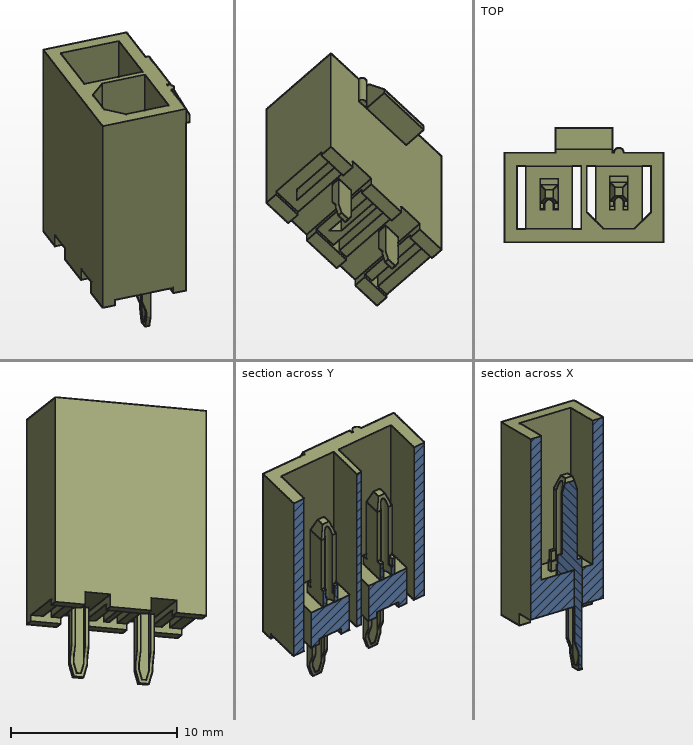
import cadquery as cq


HOUSING_WIDTH = 9.6
HOUSING_DEPTH = 5.41
HOUSING_HEIGHT = 12.8
CONTACT_PITCH = 4.2
CAVITY_WIDTH = 3.85
END_WALL = 0.82
CAVITY_DEPTH = HOUSING_DEPTH - 2 * END_WALL
KEY_CHAMFER = 1.01
FLOOR_TOP = 3.26
FLOOR_WIDTH = 2.82
SIDE_NOTCH_HEIGHT = 0.37
FRONT_NOTCH_WIDTH = 1.6
FRONT_NOTCH_HEIGHT = 0.78

LATCH_WIDTH = 3.44
LATCH_HEIGHT = 3.02
LATCH_REACH = 1.48
LATCH_TOP_REACH = 0.21
LATCH_LIP = 0.52
RIB_RADIUS = 0.3

LEFT_X = -CONTACT_PITCH / 2
RIGHT_X = CONTACT_PITCH / 2
PIN_SETBACK = 1.56
LEFT_BACK_Y = HOUSING_DEPTH - PIN_SETBACK
STAGGER = 0.15
PIN_PLACES = [(LEFT_X, LEFT_BACK_Y), (RIGHT_X, LEFT_BACK_Y + STAGGER)]

PIN_WIDTH = 1.1
BASE_FRONT_Y = 1.97
BASE_HEIGHT = 0.65
CHEEK_REACH = 0.33
CHEEK_HEIGHT = 0.65
BLADE_SETBACK = 0.36
BLADE_DEPTH = 1.14
BLADE_TOP = 9.45
TIP_HEIGHT = 0.9
TIP_INSET = 0.31
GROOVE_RADIUS = 0.26
GROOVE_CENTER_OFFSET = 0.03

TAIL_DROP = 3.5
TAIL_DEPTH = 0.57
TAIL_TIP_DEPTH = 0.28
TAIL_WALL = 0.23
TAIL_WEB = 0.25
SLOPE_TOP = -1.55
SLOPE_BOTTOM = -2.33
SLOPE_RADIUS = 0.65
TAPER_HEIGHT = 0.82
TAIL_TIP_WIDTH = 0.62


def block(x_center, width, y_min, y_max, z_min, z_max):
    """Rectangular block centred on x_center."""
    size = (width, y_max - y_min, z_max - z_min)
    corner = (x_center, y_min, z_min)
    return cq.Workplane("XY").box(*size, centered=(True, False, False)).translate(corner)


def cavity(x_center):
    """Mating cavity over the full height of the housing."""
    return block(x_center, CAVITY_WIDTH, END_WALL, END_WALL + CAVITY_DEPTH, 0, HOUSING_HEIGHT)


def keyed_cavity(x_center):
    """Mating cavity with its two front corners chamfered as a key."""
    return cavity(x_center).edges("|Z and <Y").chamfer(KEY_CHAMFER)


def latch():
    """Ramp with a flat lip, flush with the top of the housing."""
    bottom = HOUSING_HEIGHT - LATCH_HEIGHT
    outer_y = HOUSING_DEPTH + LATCH_REACH
    return (
        cq.Workplane("YZ", origin=(-LATCH_WIDTH / 2, 0, 0))
        .moveTo(HOUSING_DEPTH, bottom)
        .lineTo(outer_y, bottom)
        .lineTo(outer_y, bottom + LATCH_LIP)
        .lineTo(HOUSING_DEPTH + LATCH_TOP_REACH, HOUSING_HEIGHT)
        .lineTo(HOUSING_DEPTH, HOUSING_HEIGHT)
        .close()
        .extrude(LATCH_WIDTH)
    )


def polarity_rib():
    """Half-round rib beside the latch, as tall as the latch; its rear half lies in the wall."""
    return (
        cq.Workplane("XY", origin=(RIGHT_X, HOUSING_DEPTH, HOUSING_HEIGHT - LATCH_HEIGHT))
        .circle(RIB_RADIUS)
        .extrude(LATCH_HEIGHT)
    )


def make_housing():
    """Housing with two cavities, floor slots, underside notches and holes for the pin tails."""
    housing = block(0, HOUSING_WIDTH, 0, HOUSING_DEPTH, 0, HOUSING_HEIGHT)
    housing = housing.union(latch()).union(polarity_rib())

    for x_center, cavity_shape in [(LEFT_X, cavity), (RIGHT_X, keyed_cavity)]:
        floor_block = block(x_center, FLOOR_WIDTH, 0, HOUSING_DEPTH, 0, FLOOR_TOP)
        housing = housing.cut(cavity_shape(x_center).cut(floor_block))

    housing = housing.cut(
        block(0, HOUSING_WIDTH, END_WALL, END_WALL + CAVITY_DEPTH, 0, SIDE_NOTCH_HEIGHT)
    )
    for x_center, pin_back_y in PIN_PLACES:
        housing = housing.cut(block(x_center, FRONT_NOTCH_WIDTH, 0, HOUSING_DEPTH, 0, FRONT_NOTCH_HEIGHT))
        housing = housing.cut(
            block(x_center, PIN_WIDTH, pin_back_y - TAIL_DEPTH, pin_back_y, 0, FLOOR_TOP)
        )
    return housing


def tail_outline(back_y):
    """Front outline of the tail, tapering to its tip, set on the plane Y = back_y."""
    half_width = PIN_WIDTH / 2
    half_tip = TAIL_TIP_WIDTH / 2
    taper_top = TAPER_HEIGHT - TAIL_DROP
    return cq.Workplane("XZ", origin=(0, back_y, 0)).polyline(
        [
            (-half_width, FLOOR_TOP),
            (-half_width, taper_top),
            (-half_tip, -TAIL_DROP),
            (half_tip, -TAIL_DROP),
            (half_width, taper_top),
            (half_width, FLOOR_TOP),
        ]
    ).close()


def tail(back_y):
    """Tail with a thinner lower end and a channel in its front that stops short of the tip."""
    front_y = back_y - TAIL_DEPTH
    tip_front_y = back_y - TAIL_TIP_DEPTH
    profile = (
        cq.Workplane("YZ", origin=(-PIN_WIDTH / 2, 0, 0))
        .polyline(
            [
                (back_y, FLOOR_TOP),
                (back_y, -TAIL_DROP),
                (tip_front_y, -TAIL_DROP),
                (tip_front_y, SLOPE_BOTTOM),
                (front_y, SLOPE_TOP),
                (front_y, FLOOR_TOP),
            ]
        )
        .close()
        .extrude(PIN_WIDTH)
    )
    for slope_end in [(0, front_y, SLOPE_TOP), (0, tip_front_y, SLOPE_BOTTOM)]:
        nearest_edge = cq.selectors.NearestToPointSelector(slope_end)
        profile = profile.edges(nearest_edge).fillet(SLOPE_RADIUS)
    channel = (
        tail_outline(back_y - TAIL_WEB).offset2D(-TAIL_WALL, "intersection").extrude(TAIL_DEPTH)
    )
    return profile.intersect(tail_outline(back_y).extrude(TAIL_DEPTH)).cut(channel)


def pin_body(back_y):
    """Base, two cheeks and a pointed blade behind them, with a round-bottomed groove down the front."""
    blade_back_y = back_y - BLADE_SETBACK
    blade_front_y = blade_back_y - BLADE_DEPTH
    base_top = FLOOR_TOP + BASE_HEIGHT
    groove_center_y = blade_front_y - GROOVE_CENTER_OFFSET
    cheek_top = base_top + CHEEK_HEIGHT
    shoulder = BLADE_TOP - TIP_HEIGHT
    blade_center_y = (blade_back_y + blade_front_y) / 2

    base = block(0, PIN_WIDTH, BASE_FRONT_Y, back_y, FLOOR_TOP, base_top)
    blade = block(0, PIN_WIDTH, blade_front_y, blade_back_y, base_top, shoulder)
    point = (
        cq.Workplane("XY", origin=(0, blade_center_y, shoulder))
        .rect(PIN_WIDTH, BLADE_DEPTH)
        .workplane(offset=TIP_HEIGHT)
        .rect(PIN_WIDTH - 2 * TIP_INSET, BLADE_DEPTH - 2 * TIP_INSET)
        .loft()
    )
    body = base.union(blade).union(point)
    for side in (-1, 1):
        cheek_x = side * (PIN_WIDTH - TAIL_WALL) / 2
        body = body.union(
            block(cheek_x, TAIL_WALL, blade_front_y - CHEEK_REACH, blade_front_y, base_top, cheek_top)
        )

    groove = block(0, 2 * GROOVE_RADIUS, BASE_FRONT_Y, groove_center_y, FLOOR_TOP, BLADE_TOP)
    groove_bottom = (
        cq.Workplane("XY", origin=(0, groove_center_y, FLOOR_TOP))
        .circle(GROOVE_RADIUS)
        .extrude(BLADE_TOP - FLOOR_TOP)
    )
    return body.cut(groove).cut(groove_bottom)


def make_pin(x_center, back_y):
    """One contact pin: the body above the floor and the tail through it, as a single solid."""
    return pin_body(back_y).union(tail(back_y)).translate((x_center, 0, 0))


housing = make_housing()
pins = [make_pin(x_center, back_y) for x_center, back_y in PIN_PLACES]

result = cq.Compound.makeCompound([housing.val(), *[pin.val() for pin in pins]])